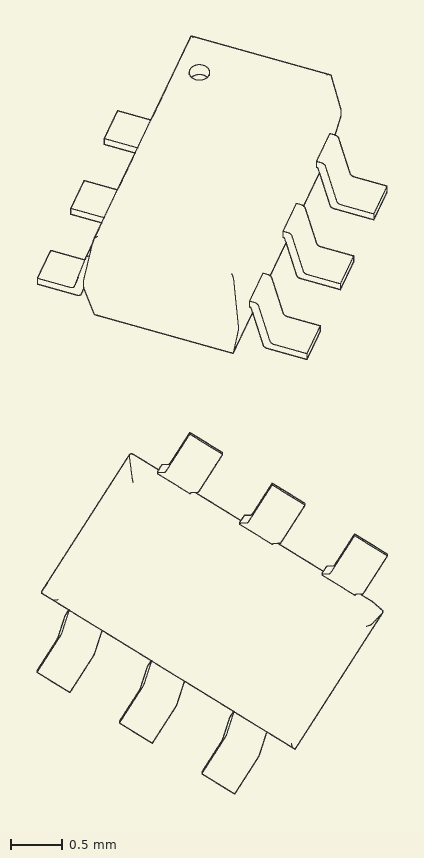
import cadquery as cq
import math

BODY_WIDTH = 1.61
BODY_LENGTH = 2.92
BODY_TOP = 1.25
BODY_BOTTOM = 0.055
BAND_TOP = 0.642
TOP_DRAFT = 7.5
BOTTOM_DRAFT = 10.0
EDGE_RADIUS = 0.045

MARK_DIAMETER = 0.2
MARK_DEPTH = 0.15
MARK_X = -0.482
MARK_Y = 0.952

LEAD_SPAN = 2.8
LEAD_THICKNESS = 0.09
LEAD_WIDTH = 0.38
LEAD_PITCH = 0.95
LEADS_PER_SIDE = 3
SHOULDER_LENGTH = 0.085
LEG_TILT = 13.7
BEND_RADIUS = 0.045
SHOULDER_INNER_RADIUS = 0.012

BAND_BOTTOM = BAND_TOP - LEAD_THICKNESS


def make_housing():
    band = (
        cq.Workplane("XY", origin=(0, 0, BAND_BOTTOM))
        .rect(BODY_WIDTH, BODY_LENGTH)
        .extrude(LEAD_THICKNESS)
    )
    upper = (
        cq.Workplane("XY", origin=(0, 0, BAND_TOP))
        .rect(BODY_WIDTH, BODY_LENGTH)
        .extrude(BODY_TOP - BAND_TOP, taper=TOP_DRAFT)
        .faces(">Z")
        .edges()
        .fillet(EDGE_RADIUS)
    )
    lower = (
        cq.Workplane("XY", origin=(0, 0, BAND_BOTTOM))
        .rect(BODY_WIDTH, BODY_LENGTH)
        .extrude(BODY_BOTTOM - BAND_BOTTOM, taper=BOTTOM_DRAFT)
        .faces("<Z")
        .edges()
        .fillet(EDGE_RADIUS)
    )
    mark = (
        cq.Workplane("XY", origin=(MARK_X, MARK_Y, BODY_TOP - MARK_DEPTH))
        .circle(MARK_DIAMETER / 2)
        .extrude(MARK_DEPTH)
    )
    return band.union(upper).union(lower).cut(mark)


def make_lead(y):
    """Lead on the -X side, centred at y: foot, tilted leg and shoulder in one bent strip."""
    wall_x = -BODY_WIDTH / 2
    tip_x = -LEAD_SPAN / 2
    lean = math.tan(math.radians(LEG_TILT))
    leg_thickness_x = LEAD_THICKNESS / math.cos(math.radians(LEG_TILT))

    shoulder_outer_x = wall_x - SHOULDER_LENGTH
    shoulder_inner_x = shoulder_outer_x + leg_thickness_x - LEAD_THICKNESS * lean
    heel_inner_x = shoulder_outer_x - (BAND_TOP - LEAD_THICKNESS) * lean
    heel_outer_x = shoulder_outer_x + leg_thickness_x - BAND_TOP * lean

    strip = (
        cq.Workplane("XZ", origin=(0, y + LEAD_WIDTH / 2, 0))
        .moveTo(tip_x, 0)
        .lineTo(heel_outer_x, 0)
        .lineTo(shoulder_inner_x, BAND_BOTTOM)
        .lineTo(wall_x, BAND_BOTTOM)
        .lineTo(wall_x, BAND_TOP)
        .lineTo(shoulder_outer_x, BAND_TOP)
        .lineTo(heel_inner_x, LEAD_THICKNESS)
        .lineTo(tip_x, LEAD_THICKNESS)
        .close()
        .extrude(LEAD_WIDTH)
    )

    def bend_edge(x, z):
        return cq.selectors.NearestToPointSelector((x, y, z))

    return (
        strip.edges(bend_edge(shoulder_outer_x, BAND_TOP))
        .fillet(BEND_RADIUS)
        .edges(bend_edge(heel_inner_x, LEAD_THICKNESS))
        .fillet(BEND_RADIUS)
        .edges(bend_edge(heel_outer_x, 0))
        .fillet(BEND_RADIUS)
        .edges(bend_edge(shoulder_inner_x, BAND_BOTTOM))
        .fillet(SHOULDER_INNER_RADIUS)
    )


housing = make_housing()

leads = []
for row in range(LEADS_PER_SIDE):
    lead_y = (row - (LEADS_PER_SIDE - 1) / 2) * LEAD_PITCH
    left_lead = make_lead(lead_y)
    leads.append(left_lead.val())
    leads.append(left_lead.mirror("YZ").val())

result = cq.Compound.makeCompound([housing.val(), *leads])